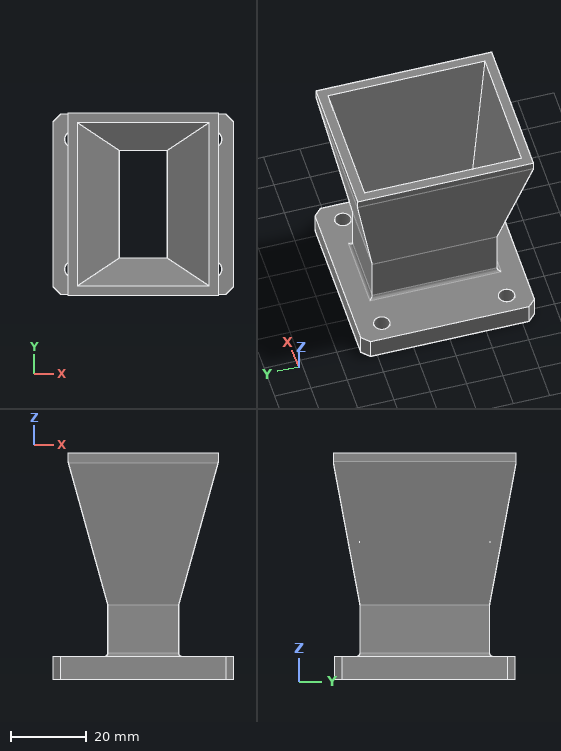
import cadquery as cq
import math

flange_side = 47.9
flange_thickness = 6.1
corner_cut = 2.1
hole_diameter = 4.3
hole_spacing_x = 37.2
hole_spacing_y = 34.4

neck_x = 18.85
neck_y = 34.4
neck_top = 19.8
mouth_x = 39.9
mouth_y = 48.4
total_height = 60.0
y_face_rim_height = 2.7
x_face_rim_height = 2.3
foot_radius = 0.9

passage_x = 12.65
passage_y = 28.45
opening_x = 34.85
opening_y = 43.2


def box_between(size_x, size_y, bottom, top):
    return cq.Workplane("XY").workplane(offset=bottom).rect(size_x, size_y).extrude(top - bottom)


def tapered_profile(plane, neck_width, mouth_width, rim_bottom, depth):
    """Straight prism whose profile flares from the neck up to the rim."""
    half_neck = neck_width / 2
    half_mouth = mouth_width / 2
    outline = [
        (-half_neck, neck_top),
        (half_neck, neck_top),
        (half_mouth, rim_bottom),
        (half_mouth, total_height),
        (-half_mouth, total_height),
        (-half_mouth, rim_bottom),
    ]
    return cq.Workplane(plane).polyline(outline).close().extrude(depth / 2, both=True)


def make_flange():
    plate = box_between(flange_side, flange_side, 0, flange_thickness).edges("|Z").chamfer(corner_cut)
    return (
        plate.faces(">Z").workplane()
        .rect(hole_spacing_x, hole_spacing_y, forConstruction=True)
        .vertices().hole(hole_diameter)
    )


def fillet_profile(plane, neck_width, depth):
    """Straight prism whose sides sweep in from the flange to the neck as concave arcs."""
    half_neck = neck_width / 2
    half_foot = half_neck + foot_radius
    arc_top = flange_thickness + foot_radius
    arc_inset = foot_radius * (1 - math.sqrt(0.5))
    return (
        cq.Workplane(plane).moveTo(-half_foot, flange_thickness).lineTo(half_foot, flange_thickness)
        .threePointArc((half_neck + arc_inset, flange_thickness + arc_inset), (half_neck, arc_top))
        .lineTo(-half_neck, arc_top)
        .threePointArc((-half_neck - arc_inset, flange_thickness + arc_inset), (-half_foot, flange_thickness))
        .close().extrude(depth / 2, both=True)
    )


def make_foot_fillet():
    """Concave fillet around the foot of the neck, mitred at its corners."""
    across_x = fillet_profile("XZ", neck_x, flange_side)
    across_y = fillet_profile("YZ", neck_y, flange_side)
    return across_x.intersect(across_y)


def make_funnel():
    """Each pair of flared walls keeps its own rim height."""
    x_flare = tapered_profile("XZ", neck_x, mouth_x, total_height - x_face_rim_height, mouth_y)
    y_flare = tapered_profile("YZ", neck_y, mouth_y, total_height - y_face_rim_height, mouth_x)
    return x_flare.intersect(y_flare)


def make_passage():
    throat = box_between(passage_x, passage_y, 0, neck_top)
    flare = (
        cq.Workplane("XY").workplane(offset=neck_top).rect(passage_x, passage_y)
        .workplane(offset=total_height - neck_top).rect(opening_x, opening_y)
        .loft(ruled=True)
    )
    return throat.union(flare)


neck = box_between(neck_x, neck_y, 0, neck_top)
body = make_flange().union(neck).union(make_foot_fillet()).union(make_funnel())
result = body.cut(make_passage())